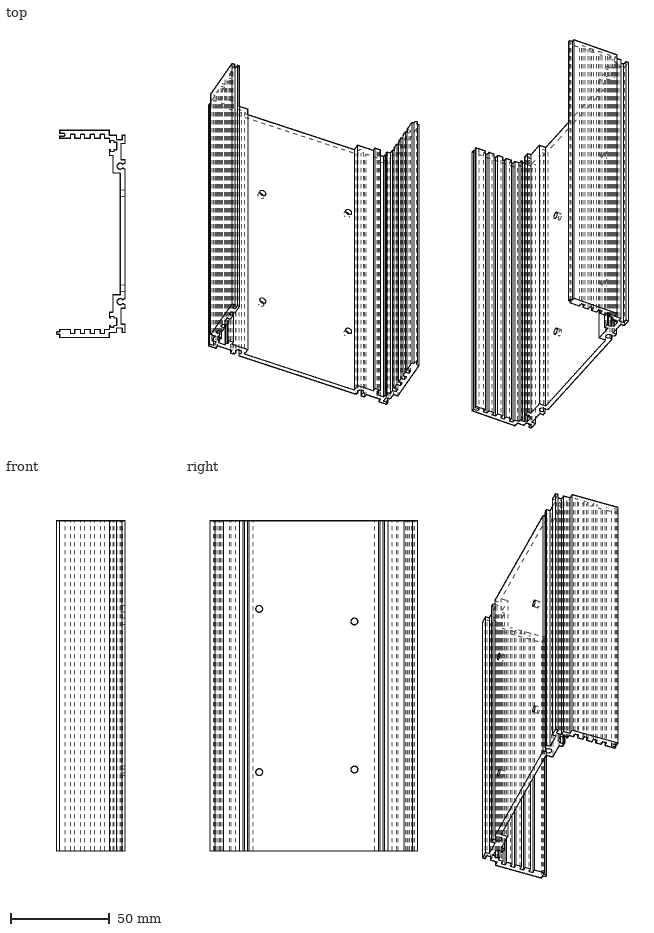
import cadquery as cq

length = 167.2
width = 105.0
depth = 34.8
back_x = depth / 2
side_y = width / 2

web_thickness = 2.5
block_thickness = 6.2
block_inner_y = 30.8
block_outer_y = 39.6

tongue_length = 1.7
tongue_thickness = 1.3
joint_groove_depth = 2.7
joint_groove_width = 1.5
joint_y = 50.2
flange_thickness = 4.2
flange_inner_y = side_y - flange_thickness
flange_front_x = back_x - depth + tongue_length
flange_root_inset = 8.0
flange_root_x = back_x - flange_root_inset

fin_groove_count = 4
fin_groove_pitch = 5.0
fin_groove_width = 2.0
fin_groove_depth = 2.0
first_fin_groove_offset = 6.5
first_fin_groove_x = flange_front_x + first_fin_groove_offset

corner_step = 2.5
corner_y = side_y - corner_step
back_lip_thickness = 1.5
lip_slot_depth = 2.3
lip_slot_width = 2.8
lip_slot_outer_x = back_x - back_lip_thickness
lip_slot_inner_x = lip_slot_outer_x - lip_slot_width

recess_depth = 2.0
recess_inner_y = 37.6
recess_outer_y = 45.6

cross_slot_y = 44.5
cross_slot_width = 3.7
cross_slot_floor_x = lip_slot_inner_x
cross_arm_width = 5.4
cross_slot_lip = 0.7
cross_arm_depth = 1.7
cross_arm_front_x = flange_root_x + cross_slot_lip
cross_arm_back_x = cross_arm_front_x + cross_arm_depth

screw_y = 34.3
screw_diameter = 3.0
screw_inset = 2.5
screw_x = back_x - screw_inset
screw_neck_width = 1.5
screw_flare_depth = 1.5
screw_neck_x = back_x - screw_flare_depth
screw_mouth_width = 3.0

hole_diameter = 3.3
hole_positions = [(20.5, 32.6), (20.5, -42.3), (-27.6, 39.0), (-27.6, -43.6)]


def bar(x_min, x_max, y_min, y_max):
    """Rectangular bar running the full length of the part."""
    size_x = x_max - x_min
    size_y = y_max - y_min
    middle = ((x_min + x_max) / 2, (y_min + y_max) / 2)
    return cq.Workplane("XY").center(*middle).rect(size_x, size_y).extrude(length / 2, both=True)


def rod(x, y, diameter):
    """Round bar running the full length of the part."""
    return cq.Workplane("XY").center(x, y).circle(diameter / 2).extrude(length / 2, both=True)


def cross_slot():
    """Slot into the corner with a wider cross-arm behind its front lips."""
    mouth_half = cross_slot_width / 2
    arm_half = cross_arm_width / 2
    mouth = bar(flange_root_x, cross_slot_floor_x, cross_slot_y - mouth_half, cross_slot_y + mouth_half)
    arms = bar(cross_arm_front_x, cross_arm_back_x, cross_slot_y - arm_half, cross_slot_y + arm_half)
    return mouth.union(arms)


def screw_channel():
    """Round channel whose narrow neck flares out to the back face."""
    neck = screw_neck_width / 2
    mouth = screw_mouth_width / 2
    upper_half = [(screw_x, neck), (screw_neck_x, neck), (back_x, mouth)]
    lower_half = [(x, -y) for x, y in reversed(upper_half)]
    outline = [(x, screw_y + y) for x, y in upper_half + lower_half]
    opening = cq.Workplane("XY").polyline(outline).close().extrude(length / 2, both=True)
    return rod(screw_x, screw_y, screw_diameter).union(opening)


def plain_flange_side():
    """The +Y flange, corner and thickened block, without the tongue or groove."""
    body = bar(flange_front_x, flange_root_x, flange_inner_y, side_y)
    body = body.union(bar(flange_root_x, back_x, block_outer_y, corner_y))
    body = body.union(bar(back_x - block_thickness, back_x, block_inner_y, block_outer_y))
    for index in range(fin_groove_count):
        x = first_fin_groove_x + index * fin_groove_pitch
        half = fin_groove_width / 2
        body = body.cut(bar(x - half, x + half, flange_inner_y, flange_inner_y + fin_groove_depth))
    body = body.cut(bar(lip_slot_inner_x, lip_slot_outer_x, corner_y - lip_slot_depth, corner_y))
    body = body.cut(bar(back_x - recess_depth, back_x, recess_inner_y, recess_outer_y))
    return body.cut(cross_slot()).cut(screw_channel())


def round_ended_bar(x_start, x_end, round_x, y, thickness):
    """Bar from x_start to x_end with a full round centred at round_x."""
    return bar(x_start, x_end, y - thickness / 2, y + thickness / 2).union(rod(round_x, y, thickness))


def joint_groove():
    """Groove in the front edge of the +Y flange."""
    round_x = flange_front_x + joint_groove_depth - joint_groove_width / 2
    return round_ended_bar(flange_front_x, round_x, round_x, joint_y, joint_groove_width)


def joint_tongue():
    """Tongue on the front edge of the -Y flange."""
    round_x = flange_front_x - tongue_length + tongue_thickness / 2
    return round_ended_bar(round_x, flange_front_x, round_x, -joint_y, tongue_thickness)


def mounting_holes():
    """Pins to be cut through the web along X."""
    plane = cq.Workplane("YZ", origin=(back_x - web_thickness, 0, 0))
    return plane.pushPoints(hole_positions).circle(hole_diameter / 2).extrude(web_thickness)


web = bar(back_x - web_thickness, back_x, -block_inner_y, block_inner_y)
plain_side = plain_flange_side()
groove_side = plain_side.cut(joint_groove())
tongue_side = plain_side.mirror("XZ").union(joint_tongue())

result = web.union(groove_side).union(tongue_side).cut(mounting_holes())